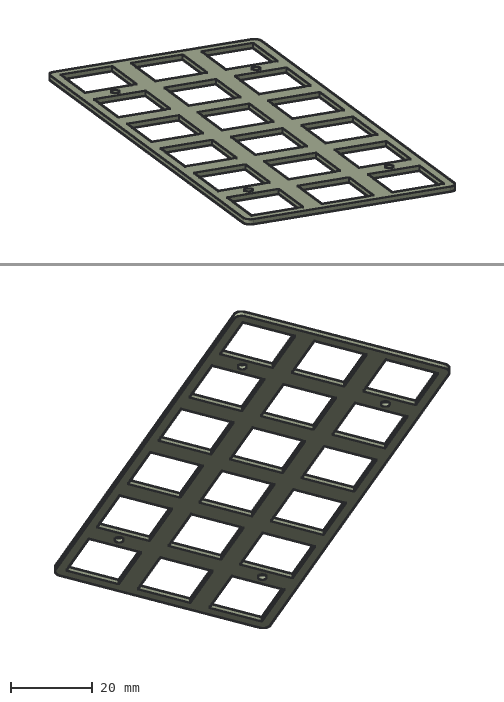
import cadquery as cq

length = 114.3
columns = 6
rows = 3
thickness = 1.4
corner_radius = 2.0
cutout_side = 14.0
hole_diameter = 2.2

pitch = length / columns
width = rows * pitch

hole_spacing_x = (columns - 2) * pitch
hole_spacing_y = (rows - 1) * pitch

plate = (
    cq.Workplane("XY")
    .box(length, width, thickness)
    .edges("|Z")
    .fillet(corner_radius)
)

plate = (
    plate.faces(">Z")
    .workplane()
    .rarray(pitch, pitch, columns, rows)
    .rect(cutout_side, cutout_side)
    .cutThruAll()
)

result = (
    plate.faces(">Z")
    .workplane(origin=(0, 0, 0))
    .rarray(hole_spacing_x, hole_spacing_y, 2, 2)
    .hole(hole_diameter)
)